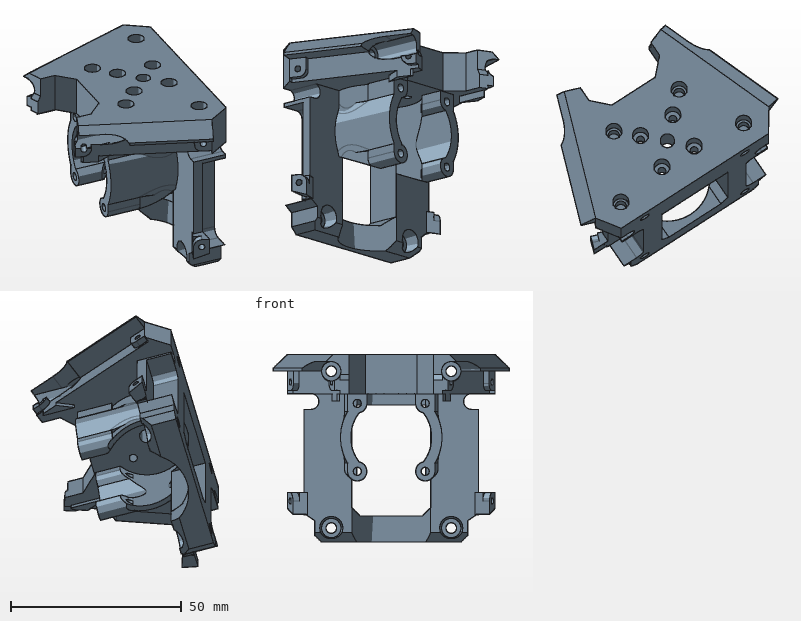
import cadquery as cq
import math


height = 55.1
plate_bottom = 43.5
flange_bottom = 50.2
flange_edge_top = 51.05
back_half_width = 26.0
flange_half_width = 34.6
flange_reach = 4.4
wall_angle = math.radians(20)
wall_start_y = -6.7
wall_start_x = -(flange_half_width - flange_reach * math.cos(wall_angle))
wall_length = 39.4
nose_reach = 0.8
nose_top = 49.25
nose_chamfer_bottom = 47.5
wall_recess = 1.8

tab_bottom = 44.5
tab_hole_z = 46.95
flange_tab_hole_stations = (2.55, 37.75)
back_tab_length = 5.1
back_tab_round = 2.1
front_tab_start = 35.45
front_tab_round = 2.8

blade_start = 33.3
blade_end = 37.75
blade_bottom = 41.5
blade_inner_x = -15.25
blade_inner_front_y = -42.0
blade_inner_back_y = -32.3

notch_half_width = 12.4
notch_floor_half_width = 7.6
notch_floor_y = -32.6
notch_corner_y = -37.45

tab_hole_radius = 0.9
tab_hole_depth = 3.45

bolt_x = -17.6
bolt_radius = 1.5
bolt_head_radius = 2.85
upper_bolt_z = 50.15
lower_bolt_z = 4.15
upper_head_seat_y = -27.5
lower_head_seat_y = -6.2
lower_head_mouth_radius = 3.4
scoop_start = 24.6
scoop_run = 6.9
scoop_half_height = 2.9

plate_hole_head_radius = 2.35
plate_hole_head_depth = 5.55
pattern_half_pitch = 5.7
pattern_hole_radius = 1.2
centre_y = -14.6
centre_hole_radius = 2.1
insert_radius = 1.65
insert_depth = 9.7
insert_points = [(-21.6, -6.7), (-11.5, -25.7)]

column_outer_x = -25.6
column_inner_x = -11.55
column_depth = 10.4
foot_outer_x = -22.45
foot_chamfer = 2.0
front_chamfer = 2.9
shoulder_low_z = 6.3
shoulder_high_z = 8.0
shoulder_high_x = -25.0
lip_top = 39.0
neck_notch_x = -23.55
neck_notch_z = 41.3
side_pocket_depth_y = 7.5
side_pocket_floor_x = -18.0
side_pocket_bottom_round = 2.5
side_pocket_top = 37.8
side_pocket_top_round = 2.1
lower_bridge_top = 7.75
upper_bridge_bottom = 40.2
bridge_gusset = 2.4
shaft_radius = 12.3

barrel_z = 30.75
barrel_outer_radius = 14.9
barrel_bore_radius = 11.85
barrel_front_y = -32.1
lug_offset = 10.0
lug_radius = 2.85
lug_hole_radius = 1.2
lug_back_y = -21.7
barrel_half_height = math.sqrt(barrel_outer_radius**2 - (lug_offset + lug_radius) ** 2)
turret_radius = 13.8
turret_blend_radius = 4.85
slope_start_z = 23.35
slope_end_y = -23.55
slope_end_z = barrel_z - lug_offset - lug_radius

low_tab_x = -30.5
low_tab_y = -side_pocket_depth_y
low_tab_length = 4.8
low_tab_width = 4.85
low_tab_hole_station = 2.35
low_tab_bottom = 8.2
low_tab_back_bottom = 9.8
low_tab_top = 14.6
low_tab_round = 2.5
low_tab_thickness = 2.1
low_tab_hole_z = 12.1

beyond_front_y = -55.4
beyond_left_x = -41.55

WALL_DIR = (math.sin(wall_angle), -math.cos(wall_angle))
OUT_DIR = (-math.cos(wall_angle), -math.sin(wall_angle))
BACK_DIR = (-WALL_DIR[0], -WALL_DIR[1])


def wall_point(along, out, start=(wall_start_x, wall_start_y)):
    """Plan point at a distance along the slanted wall and out from it."""
    return tuple(s + along * w + out * o for s, w, o in zip(start, WALL_DIR, OUT_DIR))


def prism(points, z_low, z_high):
    return cq.Workplane("XY").workplane(offset=z_low).polyline(points).close().extrude(z_high - z_low)


def box(x_low, x_high, y_low, y_high, z_low, z_high):
    size = (x_high - x_low, y_high - y_low, z_high - z_low)
    return cq.Workplane("XY").box(*size, centered=False).translate((x_low, y_low, z_low))


def rod_y(x, z, radius, y_low, y_high):
    return cq.Workplane("XZ", origin=(x, y_high, z)).circle(radius).extrude(y_high - y_low)


def rod_z(x, y, radius, z_low, z_high):
    return cq.Workplane("XY", origin=(x, y, z_low)).circle(radius).extrude(z_high - z_low)


def wall_plane(out, start=(wall_start_x, wall_start_y)):
    """Sketch plane parallel to the wall: x runs along it, y is height, normal points outwards."""
    x, y = wall_point(0, out, start)
    return cq.Workplane(cq.Plane(origin=(x, y, 0), xDir=(*WALL_DIR, 0), normal=(*OUT_DIR, 0)))


def plate_half():
    upper = prism([(0, 0), (-back_half_width, 0), wall_point(0, 0), wall_point(wall_length, 0),
                   wall_point(wall_length, -notch_half_width), (0, notch_floor_y)], flange_bottom, height)
    lower_length = wall_length + nose_reach
    lower = prism([(0, 0), (-back_half_width, 0), wall_point(0, 0), wall_point(0, -wall_recess),
                   wall_point(wall_length, -wall_recess), wall_point(wall_length, -notch_half_width),
                   (0, notch_floor_y)], plate_bottom, flange_bottom)
    nose_root = wall_length - nose_reach
    nose_profile = [(nose_root, plate_bottom), (lower_length, plate_bottom),
                    (lower_length, nose_chamfer_bottom), (wall_length, nose_top), (nose_root, nose_top)]
    nose = (wall_plane(-notch_half_width).polyline(nose_profile).close()
            .extrude(notch_half_width - wall_recess))

    x, y = wall_point(0, 0)
    flange_section = cq.Workplane(cq.Plane(origin=(x, y, 0), xDir=(*OUT_DIR, 0), normal=(*BACK_DIR, 0)))
    flange = (flange_section.polyline([(-wall_recess, flange_bottom), (flange_reach, flange_bottom),
                                       (flange_reach, flange_edge_top), (0, height), (-wall_recess, height)])
              .close().extrude(-wall_length))
    plate = upper.union(lower).union(nose).union(flange)
    notch = prism([(0, notch_floor_y), (-notch_floor_half_width, notch_floor_y),
                   (-notch_half_width, notch_corner_y), (-notch_half_width, beyond_front_y),
                   (0, beyond_front_y)],
                  plate_bottom, height)
    return plate.cut(notch)


def flange_tabs():
    front_end = wall_length + nose_reach
    back = (wall_plane(-wall_recess).moveTo(0, flange_bottom).lineTo(0, tab_bottom)
            .lineTo(back_tab_length - back_tab_round, tab_bottom)
            .tangentArcPoint((back_tab_length, tab_bottom + back_tab_round), relative=False)
            .lineTo(back_tab_length, flange_bottom).close().extrude(wall_recess))
    front = (wall_plane(-wall_recess).moveTo(front_end, flange_bottom).lineTo(front_end, tab_bottom)
             .lineTo(front_tab_start + front_tab_round, tab_bottom)
             .tangentArcPoint((front_tab_start, tab_bottom + front_tab_round), relative=False)
             .lineTo(front_tab_start, flange_bottom).close().extrude(wall_recess))
    return back.union(front)


def flange_tab_holes():
    centres = [(station, tab_hole_z) for station in flange_tab_hole_stations]
    return wall_plane(-tab_hole_depth).pushPoints(centres).circle(tab_hole_radius).extrude(2 * tab_hole_depth)


def plate_blade():
    """Small blade below the plate beside its front end."""
    outline = [wall_point(blade_start, -wall_recess), wall_point(blade_end, -wall_recess),
               (blade_inner_x, blade_inner_front_y), (blade_inner_x, blade_inner_back_y)]
    return prism(outline, blade_bottom, plate_bottom)


def upper_bolt_recess():
    """Head counterbore that opens sideways through the flange in an elliptical scoop."""
    head = rod_y(bolt_x, upper_bolt_z, bolt_head_radius, beyond_front_y, upper_head_seat_y)
    depth = bolt_head_radius + flange_reach
    tangent = scoop_start + scoop_run
    scoop_length = 2 * (wall_length - tangent)
    scoop_end = wall_plane(-bolt_head_radius).center(tangent, upper_bolt_z)
    scoop = scoop_end.ellipse(scoop_run, scoop_half_height).extrude(depth)
    straight = (scoop_end.center(scoop_length / 2, 0).rect(scoop_length, 2 * scoop_half_height)
                .extrude(depth))
    scoop = scoop.union(straight)
    return head.union(scoop.intersect(box(beyond_left_x, bolt_x, beyond_front_y, 0, plate_bottom, height)))


def vertical_holes():
    seat_z = height - plate_hole_head_depth
    cut = rod_z(0, centre_y, centre_hole_radius, plate_bottom, height)
    for side in (-1, 1):
        y = centre_y + side * pattern_half_pitch
        cut = cut.union(rod_z(-pattern_half_pitch, y, pattern_hole_radius, plate_bottom, height))
        cut = cut.union(rod_z(-pattern_half_pitch, y, plate_hole_head_radius, seat_z, height))
    for x, y in insert_points:
        cut = cut.union(rod_z(x, y, insert_radius, height - insert_depth, height))
        cut = cut.union(rod_z(x, y, plate_hole_head_radius, seat_z, height))
    return cut


def column():
    outline = [(column_inner_x, 0), (foot_outer_x + foot_chamfer, 0), (foot_outer_x, foot_chamfer),
               (foot_outer_x, shoulder_low_z), (shoulder_high_x, shoulder_high_z),
               (column_outer_x, shoulder_high_z), (column_outer_x, lip_top), (neck_notch_x, lip_top),
               (neck_notch_x, plate_bottom), (column_inner_x, plate_bottom)]
    body = cq.Workplane("XZ").polyline(outline).close().extrude(column_depth)
    notch_radius = neck_notch_z - lip_top
    body = body.cut(rod_y(neck_notch_x, neck_notch_z, notch_radius, -column_depth, 0))
    pocket_round_top = shoulder_high_z + side_pocket_bottom_round
    pocket = (cq.Workplane("XZ").moveTo(low_tab_x, shoulder_high_z)
              .lineTo(side_pocket_floor_x - side_pocket_bottom_round, shoulder_high_z)
              .tangentArcPoint((side_pocket_floor_x, pocket_round_top), relative=False)
              .lineTo(side_pocket_floor_x, side_pocket_top - side_pocket_top_round)
              .tangentArcPoint((side_pocket_floor_x - side_pocket_top_round, side_pocket_top), relative=False)
              .lineTo(low_tab_x, side_pocket_top).close()
              .extrude(side_pocket_depth_y))
    return body.cut(pocket)


def bridges_half():
    lower = (cq.Workplane("XZ").polyline([(0, 0), (column_inner_x, 0),
                                          (column_inner_x, lower_bridge_top + bridge_gusset),
                                          (column_inner_x + bridge_gusset, lower_bridge_top),
                                          (0, lower_bridge_top)]).close().extrude(column_depth))
    upper = box(column_inner_x, 0, -column_depth, 0, upper_bridge_bottom, plate_bottom)
    return lower.union(upper)


def barrel_half():
    ring = rod_y(0, barrel_z, barrel_outer_radius, barrel_front_y, -column_depth)
    ring = ring.intersect(box(-barrel_outer_radius, 0, barrel_front_y, 0,
                              barrel_z - barrel_half_height, barrel_z + barrel_half_height))
    turret = rod_z(0, centre_y, turret_radius, slope_end_z, plate_bottom)
    turret = turret.intersect(box(-turret_radius, 0, lug_back_y, -column_depth, slope_end_z, plate_bottom))
    body = ring.union(turret)
    seams = [edge for edge in body.edges().vals() if edge.geomType() == "BSPLINE"]
    body = body.newObject(seams).fillet(turret_blend_radius)
    body = body.cut(rod_y(0, barrel_z, barrel_bore_radius, barrel_front_y, -column_depth))
    lug_side = -lug_offset - lug_radius
    for side in (-1, 1):
        lug_z = barrel_z + side * lug_offset
        body = body.union(rod_y(-lug_offset, lug_z, lug_radius, barrel_front_y, lug_back_y))
        inner_z = barrel_z + side * barrel_half_height
        body = body.union(box(lug_side, -lug_offset, barrel_front_y, lug_back_y,
                              min(lug_z, inner_z), max(lug_z, inner_z)))
    body = body.union(box(lug_side, -lug_offset + lug_radius, barrel_front_y, lug_back_y,
                          barrel_z + lug_offset, plate_bottom))
    body = body.cut(rod_z(0, centre_y, shaft_radius, 0, plate_bottom))
    for side in (-1, 1):
        lug_z = barrel_z + side * lug_offset
        body = body.cut(rod_y(-lug_offset, lug_z, lug_hole_radius, barrel_front_y, lug_back_y))
    under_slope = (cq.Workplane("YZ").polyline([(-column_depth, slope_start_z), (slope_end_y, slope_end_z),
                                                (slope_end_y, 0), (-column_depth, 0)])
                   .close().extrude(-barrel_outer_radius))
    return body.cut(under_slope)


def lower_tab():
    start = (low_tab_x, low_tab_y)
    front_inner = wall_point(low_tab_length, -low_tab_width, start)
    block = prism([start, wall_point(low_tab_length, 0, start), front_inner, (front_inner[0], low_tab_y)],
                  low_tab_bottom, low_tab_top)
    corner = (wall_plane(-low_tab_thickness, start).moveTo(0, low_tab_top)
              .lineTo(low_tab_length - low_tab_round, low_tab_top)
              .tangentArcPoint((low_tab_length, low_tab_top - low_tab_round), relative=False)
              .lineTo(low_tab_length, low_tab_top).close().extrude(low_tab_thickness))
    wedge = [(0, low_tab_back_bottom), (low_tab_length, low_tab_bottom), (0, low_tab_bottom)]
    underside = (wall_plane(-2 * low_tab_thickness, start).polyline(wedge).close()
                 .extrude(2 * low_tab_thickness))
    hole = (wall_plane(-tab_hole_depth, start).center(low_tab_hole_station, low_tab_hole_z)
            .circle(tab_hole_radius).extrude(tab_hole_depth))
    return block.cut(corner).cut(underside).cut(hole)


def lower_bolt_recess():
    seat = cq.Workplane("XZ", origin=(bolt_x, lower_head_seat_y, lower_bolt_z)).circle(bolt_head_radius)
    return (seat.workplane(offset=column_depth + lower_head_seat_y).circle(lower_head_mouth_radius)
            .loft(combine=True))


frame = column().union(bridges_half())
front_edge = (cq.Workplane("YZ").polyline([(-column_depth, 0), (-column_depth + front_chamfer, 0),
                                           (-column_depth, front_chamfer)]).close().extrude(column_outer_x))
frame = frame.cut(front_edge).cut(lower_bolt_recess())
frame = frame.union(frame.mirror("YZ")).clean()
frame = frame.cut(rod_z(0, centre_y, shaft_radius, 0, plate_bottom))

half = plate_half().union(flange_tabs()).union(plate_blade()).cut(upper_bolt_recess())
half = half.cut(flange_tab_holes()).cut(vertical_holes())
half = half.union(barrel_half()).union(lower_tab())

head = half.union(half.mirror("YZ"))
result = frame.union(head).clean()
for bolt_z in (upper_bolt_z, lower_bolt_z):
    for x in (bolt_x, -bolt_x):
        result = result.cut(rod_y(x, bolt_z, bolt_radius, beyond_front_y, 0))